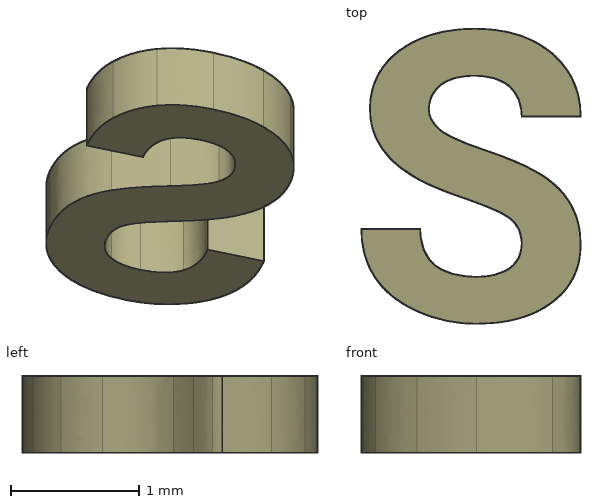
import cadquery as cq

WIDTH = 1.71
HEIGHT = 2.30
THICKNESS = 0.60

RIGHT = WIDTH / 2
LOWER_LEFT = -WIDTH / 2
UPPER_LEFT = -0.788
TOP = HEIGHT / 2
BOTTOM = -HEIGHT / 2

COUNTER_RIGHT = 0.395
LOWER_COUNTER_LEFT = -COUNTER_RIGHT
UPPER_COUNTER_LEFT = -0.328
COUNTER_TOP = 0.783
COUNTER_BOTTOM = -COUNTER_TOP

UPPER_END_Y = 0.464
LOWER_END_Y = -0.409


LOWER_SIDE_START = (LOWER_LEFT, LOWER_END_Y)
LOWER_SIDE = [
    ([(LOWER_LEFT, -0.629), (-0.639, -0.952), (-0.204, BOTTOM)], (0.040, BOTTOM)),
    ([(0.412, BOTTOM), (RIGHT, -0.814)], (RIGHT, -0.531)),
    ([(RIGHT, -0.166)], (0.522, 0.028)),
    ([(0.362, 0.121), (-0.171, 0.296), (UPPER_COUNTER_LEFT, 0.441)], (UPPER_COUNTER_LEFT, 0.523)),
    ([(UPPER_COUNTER_LEFT, 0.636), (-0.148, COUNTER_TOP)], (0.025, COUNTER_TOP)),
    ([(0.208, COUNTER_TOP), (COUNTER_RIGHT, 0.613)], (COUNTER_RIGHT, UPPER_END_Y)),
]

UPPER_SIDE_START = (RIGHT, UPPER_END_Y)
UPPER_SIDE = [
    ([(RIGHT, 0.670), (0.648, 0.978), (0.283, TOP)], (0.030, TOP)),
    ([(-0.211, TOP), (-0.585, 0.991), (UPPER_LEFT, 0.709)], (UPPER_LEFT, 0.526)),
    ([(UPPER_LEFT, 0.180)], (-0.404, -0.027)),
    ([(-0.267, -0.101), (0.210, -0.259), (COUNTER_RIGHT, -0.397)], (COUNTER_RIGHT, -0.522)),
    ([(COUNTER_RIGHT, -0.655), (0.200, COUNTER_BOTTOM)], (0.041, COUNTER_BOTTOM)),
    ([(-0.170, COUNTER_BOTTOM), (LOWER_COUNTER_LEFT, -0.600)], (LOWER_COUNTER_LEFT, LOWER_END_Y)),
]


def midpoint(a, b):
    return ((a[0] + b[0]) / 2, (a[1] + b[1]) / 2)


def add_span(sketch, controls, end):
    """Append quadratic curves that join midway between neighbouring control points."""
    joints = [midpoint(a, b) for a, b in zip(controls, controls[1:])]
    for control, joint in zip(controls, joints + [end]):
        sketch = sketch.bezier([control, joint], includeCurrent=True)
    return sketch


def add_side(sketch, spans):
    for controls, end in spans:
        sketch = add_span(sketch, controls, end)
    return sketch


def letter_outline():
    sketch = cq.Workplane("XY").moveTo(*LOWER_SIDE_START)
    sketch = add_side(sketch, LOWER_SIDE)
    sketch = sketch.lineTo(*UPPER_SIDE_START)
    sketch = add_side(sketch, UPPER_SIDE)
    return sketch.close()


result = letter_outline().extrude(THICKNESS)